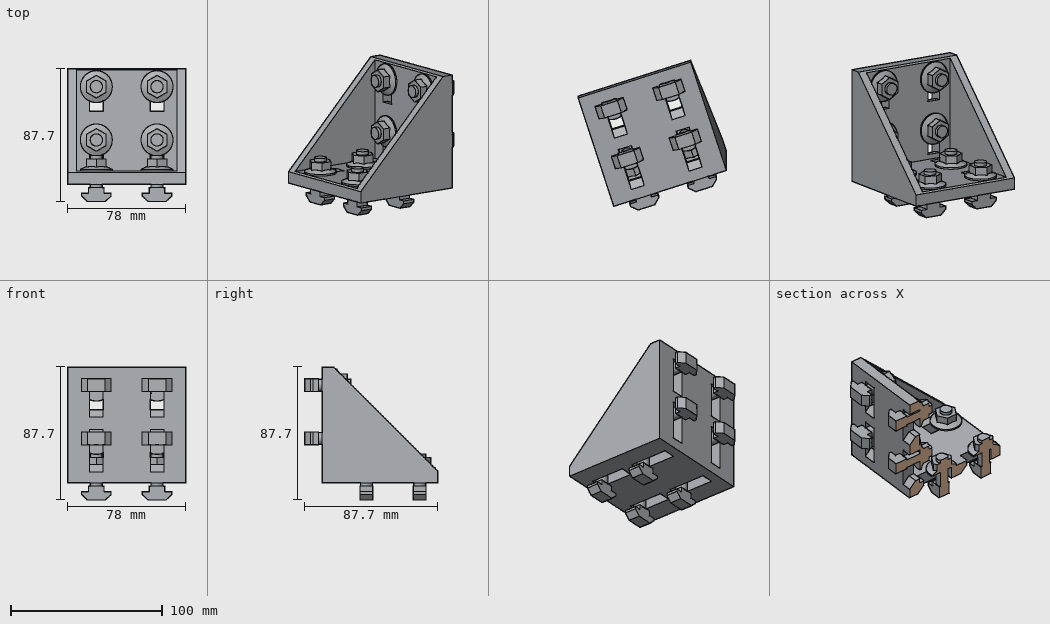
import cadquery as cq
import math


width = 78.0
total_reach = 87.7
head_reach = 11.5
leg = total_reach - head_reach
end_height = 7.7
plate = 8.8
cheek = 5.9

column_pitch = 40.0
slot_width = 8.95
slot_bevel = 4.9
near_slot = (7.2, 35.2)
far_slot = (43.3, 68.3)

near_bolt = 29.2
bolt_pitch = 35.1
shank_diameter = 8.1
shank_height = 19.0
head_width = 19.6
head_thickness = 8.5
head_face_width = 11.6
head_rim_depth = 7.7
head_shoulder_depth = 5.9
neck_width = 10.35
neck_depth = 2.3
nut_across_flats = 12.9
nut_height = 16.75
flange_diameter = 21.05
flange_rim_thickness = 1.05
flange_thickness = 3.0

columns = (-column_pitch / 2, column_pitch / 2)
bolt_rows = (near_bolt, near_bolt + bolt_pitch)


def yz_prism(points, x_center, length):
    """Closed (Y, Z) outline extruded along X, centred on x_center."""
    outline = cq.Workplane("YZ", origin=(x_center, 0, 0)).polyline(points).close()
    return outline.extrude(length / 2, both=True)


def onto_wall(base_feature):
    """Half turn about the Y = Z line: carries a base feature onto the wall."""
    return base_feature.rotate((0, 0, 0), (0, 1, 1), 180)


def bracket_body():
    slope_sum = leg + end_height
    outside = [(0, 0), (leg, 0), (leg, end_height), (end_height, leg), (0, leg)]
    inner_reach = slope_sum - plate
    inside = [(plate, plate), (inner_reach, plate), (leg, end_height),
              (leg, leg), (end_height, leg), (plate, inner_reach)]
    body = yz_prism(outside, 0, width)
    return body.cut(yz_prism(inside, 0, width - 2 * cheek))


def base_slot(x, near_end, far_end):
    narrow_end = near_end + slot_bevel
    outline = [(near_end, 0), (far_end, 0), (far_end, plate),
               (narrow_end, plate), (narrow_end, slot_bevel)]
    return yz_prism(outline, x, slot_width)


def bolt(x, y):
    """T-head bolt with its flanged nut, axis along Z, clamping the base plate."""
    half_profile = [
        (head_face_width / 2, -head_reach),
        (head_width / 2, -head_rim_depth),
        (head_width / 2, -head_shoulder_depth),
        (neck_width / 2, -head_shoulder_depth),
        (neck_width / 2, -neck_depth),
    ]
    mirrored = [(-px, pz) for px, pz in reversed(half_profile)]
    head = (cq.Workplane("XZ").polyline(half_profile + mirrored).close()
            .extrude(head_thickness / 2, both=True))

    shank = (cq.Workplane("XY", origin=(0, 0, -neck_depth))
             .circle(shank_diameter / 2).extrude(shank_height + neck_depth))

    flange = (cq.Workplane("XZ")
              .polyline([(0, plate),
                         (flange_diameter / 2, plate),
                         (flange_diameter / 2, plate + flange_rim_thickness),
                         (nut_across_flats / 2, plate + flange_thickness),
                         (0, plate + flange_thickness)])
              .close().revolve(360, (0, 0, 0), (0, 1, 0)))

    nut_across_corners = nut_across_flats / math.cos(math.pi / 6)
    nut = (cq.Workplane("XY", origin=(0, 0, plate))
           .polygon(6, nut_across_corners).extrude(nut_height - plate)
           .rotate((0, 0, 0), (0, 0, 1), 90))

    return head.union(shank).union(flange).union(nut).translate((x, y, 0))


result = bracket_body()

for column in columns:
    for slot_ends in (near_slot, far_slot):
        slot = base_slot(column, *slot_ends)
        result = result.cut(slot).cut(onto_wall(slot))

for column in columns:
    for row in bolt_rows:
        base_bolt = bolt(column, row)
        result = result.union(base_bolt).union(onto_wall(base_bolt))